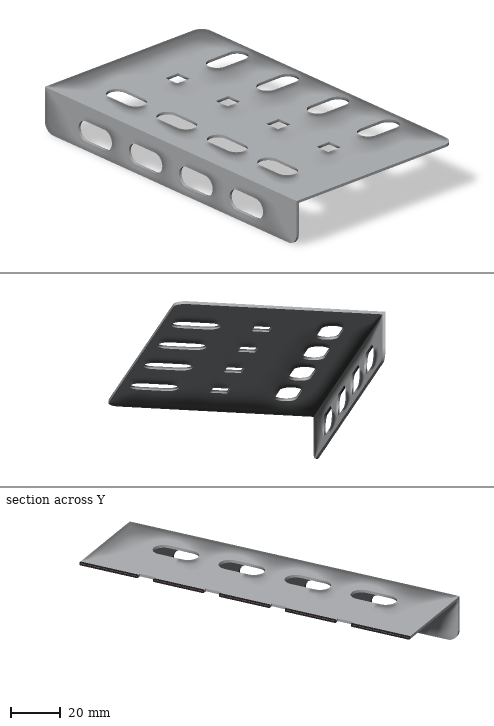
import cadquery as cq

length = 150.0
depth = 86.0
height = 20.0
thickness = 1.2

corner_radius = 5.0

opening_count = 4
opening_pitch = 30.0
slot_length = 20.0
slot_width = 9.0
square_side = 7.0

front_slot_row = 17.1
square_row = 45.0
rear_slot_row = 72.0
flange_slot_drop = 11.5

opening_points = [
    ((i - (opening_count - 1) / 2) * opening_pitch, 0) for i in range(opening_count)
]


def make_plate():
    """Horizontal plate, top face at Z = 0, with rounded rear corners."""
    plate = cq.Workplane("XY").box(length, depth, thickness, centered=(True, False, False))
    plate = plate.translate((0, 0, -thickness))
    return plate.edges("|Z and >Y").fillet(corner_radius)


def make_flange():
    """Front flange hanging from the plate, with rounded lower corners."""
    flange = cq.Workplane("XY").box(length, thickness, height, centered=(True, False, False))
    flange = flange.translate((0, 0, -height))
    return flange.edges("|Y and <Z").fillet(corner_radius)


def plate_row(y):
    """Sketch positions of one row of openings through the plate."""
    return cq.Workplane("XY", origin=(0, y, 0)).pushPoints(opening_points)


def flange_slots():
    """Cutters for the row of slots through the flange."""
    row = cq.Workplane("XZ", origin=(0, 0, -flange_slot_drop)).pushPoints(opening_points)
    return row.slot2D(slot_length, slot_width).extrude(-thickness)


result = make_plate().union(make_flange())
result = result.cut(plate_row(front_slot_row).slot2D(slot_length, slot_width).extrude(-thickness))
result = result.cut(plate_row(square_row).rect(square_side, square_side).extrude(-thickness))
result = result.cut(plate_row(rear_slot_row).slot2D(slot_length, slot_width, 90).extrude(-thickness))
result = result.cut(flange_slots())